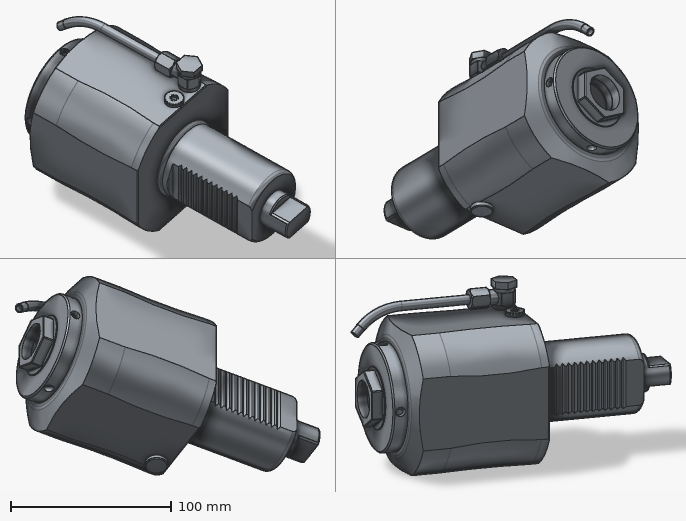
import cadquery as cq
import math


BODY_LENGTH = 89.7
BODY_ACROSS_FLATS = 91.0
BODY_RADIUS = 51.2
BODY_FACE_RADIUS = 37.0
BODY_FACE_BEVEL = 0.6
BODY_NOSE_RADIUS = 39.0
BODY_NOSE_TAPER = 6.3
FRONT_BAND_END = -65.2
REAR_BAND_START = -5.3
WAIST_RADIUS = 50.5
REAR_EDGE_CHAMFER = 0.6

SINK = 1.0

RING_RADIUS = 34.6
RING_WIDTH = 9.7
RING_CHAMFER = 1.0
RING_HOLE_RADIUS = 3.0
RING_HOLE_DEPTH = 4.0
RING_HOLE_POINT = 1.8
RING_HOLE_SETBACK = 4.9
COLLAR_RADIUS = 20.0
COLLAR_HEIGHT = 0.6
COLLAR_CHAMFER = 0.5
NUT_ACROSS_FLATS = 32.0
NUT_CORNER_RADIUS = 18.2
NUT_LENGTH = 7.9
NUT_CHAMFER = 0.6
BORE_RADIUS = 12.0
BORE_STEP_RADIUS = 11.5
BORE_STEP_DEPTH = 6.5
BORE_RELIEF_WIDTH = 1.2
BORE_DEPTH = 13.2

FLANGE_RADIUS = 26.3
FLANGE_LENGTH = 3.2
FLANGE_RIM = 1.0
SHANK_DIAMETER = 50.0
SHANK_RADIUS = SHANK_DIAMETER / 2
SHANK_LENGTH = 70.9
SHANK_END_BEVEL = 3.0
SHANK_END_DROP = 1.6
FLAT_DISTANCE = 20.0
FLAT_START = 7.7
FLAT_WALL_CHAMFER = 0.8
GROOVE_COUNT = 12
GROOVE_SPAN = 44.1
GROOVE_PITCH = GROOVE_SPAN / (GROOVE_COUNT - 1)
GROOVE_FIRST = 13.5
GROOVE_WIDTH = 2.8
GROOVE_DEPTH = 1.32

TANG_RADIUS = 12.1
TANG_ROUND_END = 78.1
TANG_END = 92.0
TANG_THICKNESS = 13.4
TANG_FLAT_WIDTH = 17.8
TANG_CHAMFER_WIDTH = 1.52
TANG_CHAMFER_DROP = 0.7
TANG_EDGE_LENGTH = 1.0
TANG_EDGE_DROP = 0.5

ELBOW_X = -8.7
ELBOW_Y = 17.0
ELBOW_BASE_RADIUS = 6.9
ELBOW_BLOCK_BOTTOM = 48.4
ELBOW_BLOCK_TOP = 56.9
ELBOW_BLOCK_ACROSS_FLATS = 13.5
ELBOW_BLOCK_CORNER_RADIUS = 7.7
ELBOW_BLOCK_CHAMFER = 0.8
ELBOW_NECK_RADIUS = 6.9
BOLT_HEAD_BOTTOM = 59.3
BOLT_HEAD_TOP = 64.0
BOLT_ACROSS_FLATS = 14.2
PIPE_Z = 53.0
BRANCH_RADIUS = 4.9
PIPE_NUT_FRONT = -31.8
PIPE_NUT_REAR = -19.5
PIPE_NUT_ACROSS_FLATS = 12.0
PIPE_NUT_CORNER_RADIUS = 6.9
PIPE_NUT_CHAMFER = 1.0
PIPE_RADIUS = 3.0
PIPE_BEND_START = -77.0
PIPE_BEND_RADIUS = 39.5
PIPE_BEND_ANGLE = 44.0
PIPE_TIP_LENGTH = 5.9
PIPE_TIP_RADIUS = 2.8
PIPE_BORE_RADIUS = 2.0
PIPE_TILT = 15.4

CAP_X = -7.3
CAP_RADIUS = 6.0
CAP_HEIGHT = 2.8
CAP_KNURL_START = 1.5
CAP_KNURL_COUNT = 18
CAP_KNURL_RADIUS = 0.5
SOCKET_RADIUS = 2.6
SOCKET_LOBE_RADIUS = 0.7
SOCKET_LOBES = 6
SOCKET_DEPTH = 2.0
PLUG_RADIUS = 7.0
PLUG_HEIGHT = 2.8
PLUG_CHAMFER = 0.6

BODY_FRONT = -BODY_LENGTH
RING_FRONT = BODY_FRONT - RING_WIDTH
NUT_FRONT = RING_FRONT - NUT_LENGTH
BODY_HALF = BODY_ACROSS_FLATS / 2


def cylinder_x(radius, start, end):
    """Cylinder on the spindle axis from x = start to x = end."""
    return cq.Workplane("YZ").workplane(offset=start).circle(radius).extrude(end - start)


def cylinder_z(radius, bottom, top, x=0, y=0):
    """Upright cylinder from z = bottom to z = top."""
    return cq.Workplane("XY").workplane(offset=bottom).center(x, y).circle(radius).extrude(top - bottom)


def hexagon(across_flats, length, turn=0):
    """Hexagonal prism along Z from z = 0, its corners on X before turning."""
    corner_diameter = across_flats / math.cos(math.pi / 6)
    prism = cq.Workplane("XY").polygon(6, corner_diameter).extrude(length)
    return prism.rotate((0, 0, 0), (0, 0, 1), turn)


def rounded_hexagon(across_flats, length, corner_radius, bottom_chamfer=0, top_chamfer=0):
    """Hexagonal prism with its corners turned down and its ends bevelled at the corners."""
    blank = cq.Workplane("XY").circle(corner_radius).extrude(length)
    if bottom_chamfer:
        blank = blank.faces("<Z").chamfer(bottom_chamfer)
    if top_chamfer:
        blank = blank.faces(">Z").chamfer(top_chamfer)
    return hexagon(across_flats, length).intersect(blank)


def along_x(solid, start):
    """Lay a solid built along Z onto the X direction, its base at x = start."""
    return solid.rotate((0, 0, 0), (0, 1, 0), 90).translate((start, 0, 0))


def make_body():
    profile = (
        cq.Workplane("XY")
        .moveTo(BODY_FRONT, 0)
        .lineTo(BODY_FRONT, BODY_FACE_RADIUS)
        .lineTo(BODY_FRONT + BODY_FACE_BEVEL, BODY_NOSE_RADIUS)
        .lineTo(BODY_FRONT + BODY_NOSE_TAPER, BODY_RADIUS)
        .lineTo(FRONT_BAND_END, BODY_RADIUS)
        .threePointArc(
            ((FRONT_BAND_END + REAR_BAND_START) / 2, WAIST_RADIUS),
            (REAR_BAND_START, BODY_RADIUS),
        )
        .lineTo(0, BODY_RADIUS)
        .lineTo(0, 0)
        .close()
    )
    turned = profile.revolve(360, (0, 0, 0), (1, 0, 0))
    square = (
        cq.Workplane("YZ")
        .rect(BODY_ACROSS_FLATS, BODY_ACROSS_FLATS)
        .extrude(-BODY_LENGTH)
        .faces(">X")
        .chamfer(REAR_EDGE_CHAMFER)
    )
    return turned.intersect(square)


def make_ring():
    ring = cylinder_x(RING_RADIUS, RING_FRONT, BODY_FRONT)
    ring = ring.faces("<X").chamfer(RING_CHAMFER)
    hole_floor = RING_RADIUS - RING_HOLE_DEPTH
    hole = (
        cq.Workplane("XZ")
        .moveTo(0, hole_floor - RING_HOLE_POINT)
        .lineTo(RING_HOLE_RADIUS, hole_floor)
        .lineTo(RING_HOLE_RADIUS, RING_RADIUS)
        .lineTo(0, RING_RADIUS)
        .close()
        .revolve(360, (0, 0, 0), (0, 1, 0))
        .translate((RING_FRONT + RING_HOLE_SETBACK, 0, 0))
    )
    for quarter in range(4):
        ring = ring.cut(hole.rotate((0, 0, 0), (1, 0, 0), 90 * quarter))
    collar = cylinder_x(COLLAR_RADIUS, RING_FRONT - COLLAR_HEIGHT, RING_FRONT)
    return ring.union(collar.faces("<X").chamfer(COLLAR_CHAMFER))


def make_collet_nut():
    hexagonal = hexagon(NUT_ACROSS_FLATS, NUT_LENGTH).faces("<Z").chamfer(NUT_CHAMFER)
    corner_limit = cq.Workplane("XY").circle(NUT_CORNER_RADIUS).extrude(NUT_LENGTH)
    return along_x(hexagonal.intersect(corner_limit), NUT_FRONT)


def make_nut_bore():
    mouth = cylinder_x(BORE_RADIUS, NUT_FRONT, NUT_FRONT + BORE_STEP_DEPTH)
    floor = NUT_FRONT + BORE_DEPTH
    narrow = cylinder_x(BORE_STEP_RADIUS, NUT_FRONT, floor)
    relief = cylinder_x(BORE_RADIUS, floor - BORE_RELIEF_WIDTH, floor)
    return mouth.union(narrow).union(relief)


def make_shank():
    profile = (
        cq.Workplane("XY")
        .moveTo(0, 0)
        .lineTo(0, FLANGE_RADIUS)
        .lineTo(FLANGE_RIM, FLANGE_RADIUS)
        .tangentArcPoint((FLANGE_LENGTH, SHANK_RADIUS), relative=False)
        .lineTo(SHANK_LENGTH - SHANK_END_BEVEL, SHANK_RADIUS)
        .tangentArcPoint((SHANK_LENGTH, SHANK_RADIUS - SHANK_END_DROP), relative=False)
        .lineTo(SHANK_LENGTH, 0)
        .close()
    )
    shank = profile.revolve(360, (0, 0, 0), (1, 0, 0))

    flat_cut = (
        cq.Workplane("XY")
        .moveTo(FLAT_START, -FLAT_DISTANCE)
        .lineTo(FLAT_START, -SHANK_RADIUS + FLAT_WALL_CHAMFER)
        .lineTo(FLAT_START - FLAT_WALL_CHAMFER, -SHANK_RADIUS)
        .lineTo(FLAT_START - FLAT_WALL_CHAMFER, -FLANGE_RADIUS)
        .lineTo(SHANK_LENGTH, -FLANGE_RADIUS)
        .lineTo(SHANK_LENGTH, -FLAT_DISTANCE)
        .close()
        .extrude(SHANK_RADIUS, both=True)
    )
    shank = shank.cut(flat_cut)

    groove = (
        cq.Workplane("XY")
        .moveTo(-GROOVE_WIDTH / 2, -FLAT_DISTANCE)
        .lineTo(0, -FLAT_DISTANCE + GROOVE_DEPTH)
        .lineTo(GROOVE_WIDTH / 2, -FLAT_DISTANCE)
        .close()
        .extrude(SHANK_RADIUS, both=True)
    )
    for index in range(GROOVE_COUNT):
        shank = shank.cut(groove.translate((GROOVE_FIRST + index * GROOVE_PITCH, 0, 0)))
    return shank


def tang_round(end):
    """Round stub behind the shank with a slight bevel on its end."""
    stub = cylinder_x(TANG_RADIUS, SHANK_LENGTH, end)
    return stub.faces(">X").chamfer(TANG_EDGE_LENGTH, TANG_EDGE_DROP)


def make_tang():
    half_thickness = TANG_THICKNESS / 2
    half_flat = TANG_FLAT_WIDTH / 2
    shoulder_y = half_flat + TANG_CHAMFER_WIDTH
    shoulder_z = half_thickness - TANG_CHAMFER_DROP
    section = (
        cq.Workplane("YZ")
        .workplane(offset=SHANK_LENGTH)
        .moveTo(-half_flat, half_thickness)
        .lineTo(half_flat, half_thickness)
        .lineTo(shoulder_y, shoulder_z)
        .lineTo(TANG_RADIUS, shoulder_z)
        .lineTo(TANG_RADIUS, 0)
        .lineTo(-TANG_RADIUS, 0)
        .lineTo(-TANG_RADIUS, shoulder_z)
        .lineTo(-shoulder_y, shoulder_z)
        .close()
        .extrude(TANG_END - SHANK_LENGTH)
    )
    section = section.union(section.mirror("XY"))
    return tang_round(TANG_ROUND_END).union(tang_round(TANG_END).intersect(section))


def make_elbow():
    base = cylinder_z(ELBOW_BASE_RADIUS, BODY_HALF - SINK, ELBOW_BLOCK_BOTTOM)
    block = rounded_hexagon(
        ELBOW_BLOCK_ACROSS_FLATS,
        ELBOW_BLOCK_TOP - ELBOW_BLOCK_BOTTOM,
        ELBOW_BLOCK_CORNER_RADIUS,
        bottom_chamfer=ELBOW_BLOCK_CHAMFER,
    ).translate((0, 0, ELBOW_BLOCK_BOTTOM))
    neck = cylinder_z(ELBOW_NECK_RADIUS, ELBOW_BLOCK_TOP, BOLT_HEAD_BOTTOM)
    bolt_head = hexagon(BOLT_ACROSS_FLATS, BOLT_HEAD_TOP - BOLT_HEAD_BOTTOM, turn=30)
    upright = base.union(block).union(neck).union(bolt_head.translate((0, 0, BOLT_HEAD_BOTTOM)))
    return upright.translate((ELBOW_X, ELBOW_Y, 0))


def make_pipe():
    """Branch, union nut and bent pipe, built on the spindle axis and then moved to the elbow."""
    branch = cylinder_x(BRANCH_RADIUS, PIPE_NUT_REAR, ELBOW_X)
    union_nut = rounded_hexagon(
        PIPE_NUT_ACROSS_FLATS,
        PIPE_NUT_REAR - PIPE_NUT_FRONT,
        PIPE_NUT_CORNER_RADIUS,
        PIPE_NUT_CHAMFER,
        PIPE_NUT_CHAMFER,
    )
    straight = cylinder_x(PIPE_RADIUS, PIPE_BEND_START, PIPE_NUT_FRONT)
    bend = (
        cq.Workplane("YZ")
        .workplane(offset=PIPE_BEND_START)
        .circle(PIPE_RADIUS)
        .revolve(PIPE_BEND_ANGLE, (0, -PIPE_BEND_RADIUS, 0), (-1, -PIPE_BEND_RADIUS, 0))
    )
    angle = math.radians(PIPE_BEND_ANGLE)
    bend_end = (
        PIPE_BEND_START - PIPE_BEND_RADIUS * math.sin(angle),
        0,
        -PIPE_BEND_RADIUS * (1 - math.cos(angle)),
    )
    tip_plane = cq.Plane(bend_end, (0, 1, 0), (-math.cos(angle), 0, -math.sin(angle)))
    tip = cq.Workplane(tip_plane).circle(PIPE_TIP_RADIUS).extrude(PIPE_TIP_LENGTH)
    tip_bore = cq.Workplane(tip_plane).circle(PIPE_BORE_RADIUS).extrude(PIPE_TIP_LENGTH)
    bent = bend.union(tip).cut(tip_bore).rotate((0, 0, 0), (1, 0, 0), -PIPE_TILT)
    assembled = branch.union(along_x(union_nut, PIPE_NUT_FRONT)).union(straight).union(bent)
    return assembled.translate((0, ELBOW_Y, PIPE_Z))


def make_cap_screw():
    """Knurled screw head with a lobed socket on the top flat."""
    head = cylinder_z(CAP_RADIUS, -SINK, CAP_HEIGHT)
    knurls = (
        cq.Workplane("XY")
        .workplane(offset=CAP_KNURL_START)
        .polarArray(CAP_RADIUS, 0, 360, CAP_KNURL_COUNT)
        .circle(CAP_KNURL_RADIUS)
        .extrude(CAP_HEIGHT - CAP_KNURL_START)
    )
    socket_floor = CAP_HEIGHT - SOCKET_DEPTH
    socket = cylinder_z(SOCKET_RADIUS, socket_floor, CAP_HEIGHT)
    lobes = (
        cq.Workplane("XY")
        .workplane(offset=socket_floor)
        .polarArray(SOCKET_RADIUS, 0, 360, SOCKET_LOBES)
        .circle(SOCKET_LOBE_RADIUS)
        .extrude(SOCKET_DEPTH)
    )
    return head.cut(knurls).cut(socket.cut(lobes)).translate((CAP_X, 0, BODY_HALF))


def make_plug():
    """Screw plug under the body, in line with the elbow."""
    plug = cylinder_z(PLUG_RADIUS, -BODY_HALF - PLUG_HEIGHT, -BODY_HALF + SINK, ELBOW_X, ELBOW_Y)
    return plug.faces("<Z").chamfer(PLUG_CHAMFER)


result = (
    make_body()
    .union(make_ring())
    .union(make_collet_nut())
    .cut(make_nut_bore())
    .union(make_shank())
    .union(make_tang())
    .union(make_elbow())
    .union(make_pipe())
    .union(make_cap_screw())
    .union(make_plug())
)